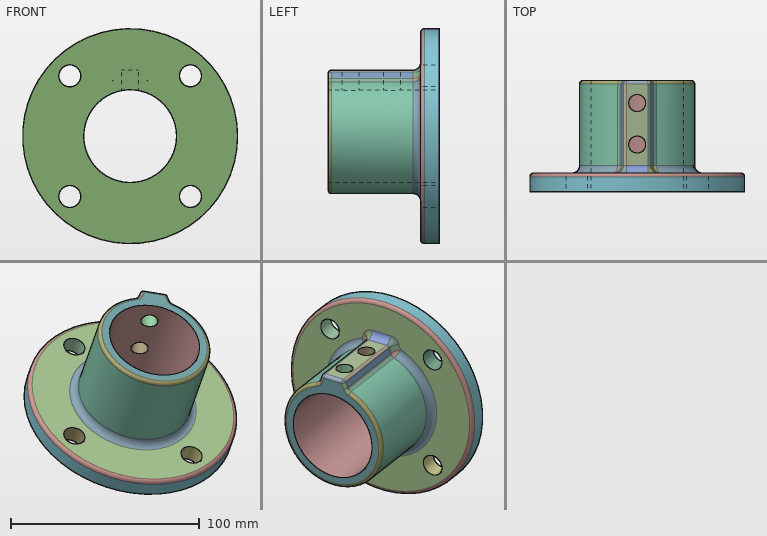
import cadquery as cq
import math

flange_diameter = 114.0
flange_thickness = 10.0
flange_edge_radius = 2.0
bolt_hole_diameter = 11.5
bolt_circle_diameter = 90.4
bolt_hole_count = 4

total_length = 59.0
hub_diameter = 61.1
hub_end_radius = 1.8
hub_base_radius = 4.0
bore_diameter = 49.0

pad_height = 35.0
pad_top_width = 13.7
pad_draft = math.radians(20)
pad_top_radius = 1.7
pad_root_radius = 3.1

screw_hole_diameter = 9.0
screw_hole_end_distance = 12.0
screw_hole_spacing = 22.0


def cylinder_y(diameter, length):
    """Cylinder about the Y axis, starting at Y = 0."""
    return cq.Workplane("XZ").circle(diameter / 2).extrude(-length)


def make_pad():
    """Trapezoidal bar from the hub axis up to the pad top."""
    half_top = pad_top_width / 2
    half_bottom = half_top + pad_height * math.tan(pad_draft)
    outline = [
        (-half_bottom, 0),
        (half_bottom, 0),
        (half_top, pad_height),
        (-half_top, pad_height),
    ]
    pad = cq.Workplane("XZ").polyline(outline).close().extrude(-total_length)
    return pad.edges("|Y and >Z").fillet(pad_top_radius)


def pad_root_edges(body):
    """Lengthwise edges where the pad flanks meet the round hub."""
    search_half_width = hub_diameter / 4
    search_bottom = hub_diameter / 4
    search_top = pad_height - pad_top_radius
    box = cq.selectors.BoxSelector(
        (-search_half_width, 0, search_bottom),
        (search_half_width, total_length, search_top),
    )
    return body.edges("|Y").edges(box)


def make_hub():
    hub = cylinder_y(hub_diameter, total_length).union(make_pad())
    hub = pad_root_edges(hub).fillet(pad_root_radius)
    return hub.faces(">Y").edges().fillet(hub_end_radius)


def make_flange():
    flange = cylinder_y(flange_diameter, flange_thickness)
    return flange.faces(">Y").edges().fillet(flange_edge_radius)


def base_edges(body):
    """Edges of the hub outline where it meets the back of the flange."""
    reach = hub_diameter * 0.65
    margin = 0.1
    box = cq.selectors.BoxSelector(
        (-reach, flange_thickness - margin, -reach),
        (reach, flange_thickness + margin, reach),
        boundingbox=True,
    )
    return body.edges(box)


def make_bolt_holes():
    first_angle = 45
    return (
        cq.Workplane("XZ")
        .polarArray(bolt_circle_diameter / 2, first_angle, 360, bolt_hole_count)
        .circle(bolt_hole_diameter / 2)
        .extrude(-flange_thickness)
    )


def make_screw_holes():
    rear_hole = total_length - screw_hole_end_distance
    return (
        cq.Workplane("XY")
        .pushPoints([(0, rear_hole), (0, rear_hole - screw_hole_spacing)])
        .circle(screw_hole_diameter / 2)
        .extrude(pad_height)
    )


body = make_flange().union(make_hub())
body = base_edges(body).fillet(hub_base_radius)
body = body.cut(cylinder_y(bore_diameter, total_length))
result = body.cut(make_bolt_holes()).cut(make_screw_holes())